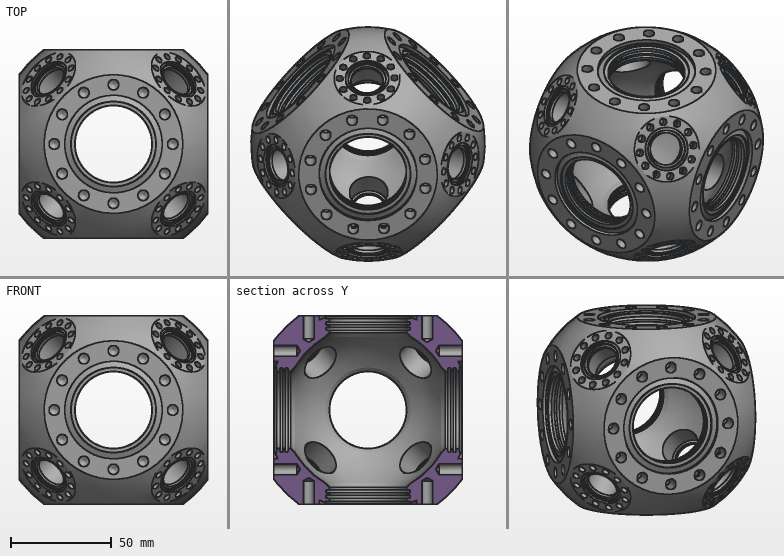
import cadquery as cq
import math

WIDTH = 93.5
OUTER_RADIUS = 58.0
SLAB_CLEARANCE = 1.0
CAVITY_RADIUS = 41.9

KNIFE_CREST_DEPTH = 0.6
KNIFE_CREST_WIDTH = 0.15
SEAL_FLOOR_DEPTH = 1.5
BOLT_COUNT = 12
DRILL_POINT_ANGLE = 118.0

LARGE_FACE_DISTANCE = WIDTH / 2
LARGE_BORE_RADIUS = 19.05
LARGE_KNIFE_RADIUS = 21.0
LARGE_RECESS_RADIUS = 24.15
LARGE_RECESS_DEPTH = 2.0
LARGE_GROOVE_DEPTHS = (3.15, 5.75)
LARGE_GROOVE_WIDTH = 1.45
LARGE_GROOVE_RADIUS = 20.9
LARGE_FLARE_DEPTH = 8.5
LARGE_FLARE_LENGTH = 4.0
LARGE_BOLT_CIRCLE_RADIUS = 29.36
LARGE_HOLE_DIAMETER = 5.2
LARGE_HOLE_DEPTH = 11.5

SMALL_FACE_RADIUS = 16.3
SMALL_FACE_DISTANCE = math.sqrt(OUTER_RADIUS**2 - SMALL_FACE_RADIUS**2)
SMALL_BORE_RADIUS = 8.0
SMALL_KNIFE_RADIUS = 9.25
SMALL_RECESS_RADIUS = 10.7
SMALL_RECESS_DEPTH = 1.3
SMALL_RELIEF_RADIUS = 9.5
SMALL_RELIEF_DEPTH = 3.1
SMALL_BOLT_CIRCLE_RADIUS = 13.6
SMALL_HOLE_DIAMETER = 3.4
SMALL_HOLE_DEPTH = 9.0


def revolved(points, plane):
    """Revolve a (radius, height) outline about the plane's normal."""
    turned = cq.Workplane("XZ").polyline(points).close().revolve(360, (0, 0, 0), (0, 1, 0))
    return turned.val().moved(cq.Location(plane))


def bore_groove(plane, bore, groove, start, width):
    """Ring groove in a bore wall with parallel sides and a half-round bottom."""
    half_width = width / 2
    end = start + width
    flank_end = groove - half_width
    ring = (
        cq.Workplane("XZ")
        .moveTo(bore - half_width, -start)
        .lineTo(flank_end, -start)
        .threePointArc((groove, -start - half_width), (flank_end, -end))
        .lineTo(bore - half_width, -end)
        .close()
        .revolve(360, (0, 0, 0), (0, 1, 0))
    )
    return ring.val().moved(cq.Location(plane))


def port_opening(plane, face_distance, bore, knife, recess, recess_depth):
    """Recess around a knife edge and the bore that opens into the cavity."""
    outline = [
        (0, 0),
        (recess, 0),
        (recess, -recess_depth),
        (knife + KNIFE_CREST_WIDTH, -KNIFE_CREST_DEPTH),
        (knife, -KNIFE_CREST_DEPTH),
        (knife, -SEAL_FLOOR_DEPTH),
        (bore, -SEAL_FLOOR_DEPTH),
        (bore, -face_distance / 2),
        (0, -face_distance / 2),
    ]
    return revolved(outline, plane)


def bore_relief(plane, face_distance, radius, depth):
    """Wider inner stretch of a bore, from a depth below the face into the cavity."""
    end = face_distance / 2
    return revolved([(0, -depth), (radius, -depth), (radius, -end), (0, -end)], plane)


def bore_flare(plane, bore, depth, length):
    """45 degree cone that widens the inner end of a bore toward the cavity."""
    end = depth + length
    return revolved([(0, -depth), (bore, -depth), (bore + length, -end), (0, -end)], plane)


def bolt_holes(plane, circle_radius, diameter, depth):
    """Ring of blind drilled holes, the first one on the plane's local X axis."""
    radius = diameter / 2
    tip = depth + radius / math.tan(math.radians(DRILL_POINT_ANGLE / 2))
    outline = [(0, 0), (radius, 0), (radius, -depth), (0, -tip)]
    holes = []
    for i in range(BOLT_COUNT):
        angle = 2 * math.pi * i / BOLT_COUNT
        offset = (circle_radius * math.cos(angle), circle_radius * math.sin(angle), 0)
        spot = cq.Plane(plane.toWorldCoords(offset), xDir=plane.xDir, normal=plane.zDir)
        holes.append(revolved(outline, spot))
    return holes


def port_plane(direction, distance):
    """Plane on a port face, its normal pointing outward and local Y leaning toward +Z."""
    normal = cq.Vector(*direction).normalized()
    upright = abs(normal.z) > 0.99
    x_dir = cq.Vector(1, 0, 0) if upright else cq.Vector(0, 0, 1).cross(normal)
    return cq.Plane(normal * distance, xDir=x_dir, normal=normal)


def corner_slab(plane):
    """Slab milled off the sphere to leave a flat small port face."""
    thickness = OUTER_RADIUS - SMALL_FACE_DISTANCE + SLAB_CLEARANCE
    return cq.Workplane(plane).circle(2 * SMALL_FACE_RADIUS).extrude(thickness).val()


large_directions = []
for sign in (-1, 1):
    large_directions += [(sign, 0, 0), (0, sign, 0), (0, 0, sign)]

small_directions = [(x, y, z) for x in (-1, 1) for y in (-1, 1) for z in (-1, 1)]

body = cq.Workplane("XY").sphere(OUTER_RADIUS)
body = body.intersect(cq.Workplane("XY").box(WIDTH, WIDTH, WIDTH))
body = body.cut(cq.Workplane("XY").sphere(CAVITY_RADIUS))

cutters = []
for direction in large_directions:
    plane = port_plane(direction, LARGE_FACE_DISTANCE)
    opening = port_opening(
        plane,
        LARGE_FACE_DISTANCE,
        LARGE_BORE_RADIUS,
        LARGE_KNIFE_RADIUS,
        LARGE_RECESS_RADIUS,
        LARGE_RECESS_DEPTH,
    )
    cutters.append(opening)
    for start in LARGE_GROOVE_DEPTHS:
        groove = bore_groove(plane, LARGE_BORE_RADIUS, LARGE_GROOVE_RADIUS, start, LARGE_GROOVE_WIDTH)
        cutters.append(groove)
    cutters.append(bore_flare(plane, LARGE_BORE_RADIUS, LARGE_FLARE_DEPTH, LARGE_FLARE_LENGTH))
    cutters += bolt_holes(plane, LARGE_BOLT_CIRCLE_RADIUS, LARGE_HOLE_DIAMETER, LARGE_HOLE_DEPTH)

for direction in small_directions:
    plane = port_plane(direction, SMALL_FACE_DISTANCE)
    cutters.append(corner_slab(plane))
    opening = port_opening(
        plane,
        SMALL_FACE_DISTANCE,
        SMALL_BORE_RADIUS,
        SMALL_KNIFE_RADIUS,
        SMALL_RECESS_RADIUS,
        SMALL_RECESS_DEPTH,
    )
    cutters.append(opening)
    cutters.append(bore_relief(plane, SMALL_FACE_DISTANCE, SMALL_RELIEF_RADIUS, SMALL_RELIEF_DEPTH))
    cutters += bolt_holes(plane, SMALL_BOLT_CIRCLE_RADIUS, SMALL_HOLE_DIAMETER, SMALL_HOLE_DEPTH)

result = cq.Workplane(body.val().cut(*cutters).Solids()[0])